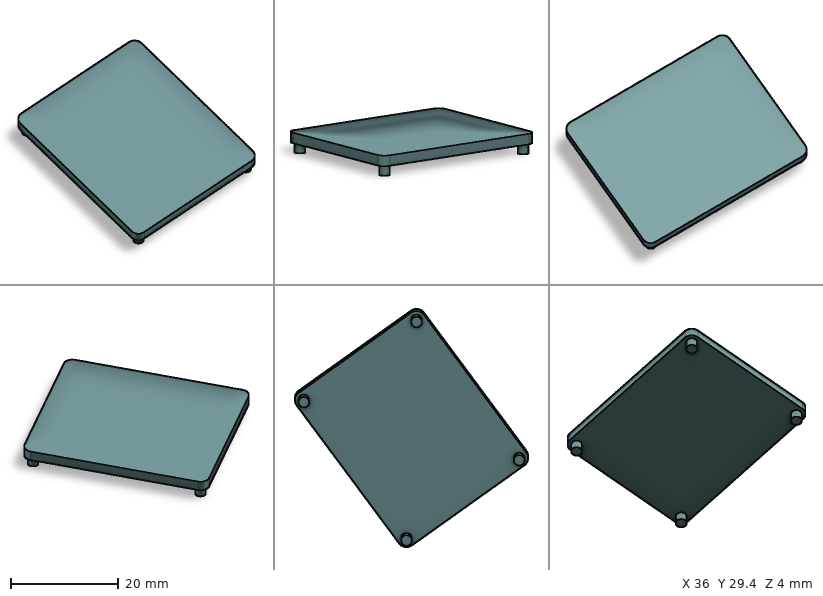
import cadquery as cq

length = 36.0
width = 29.4
total_height = 4.0
plate_thickness = 2.0
corner_radius = 1.7

pin_diameter = 2.0
pin_length = total_height - plate_thickness
pin_spacing_x = length - 2 * corner_radius
pin_spacing_y = width - 2 * corner_radius


def make_plate():
    """Flat plate with rounded corners, its underside at Z = 0."""
    plate = cq.Workplane("XY").rect(length, width).extrude(plate_thickness)
    return plate.edges("|Z").fillet(corner_radius)


def make_pins():
    """Four round pins hanging below the plate corners."""
    return (
        cq.Workplane("XY")
        .rect(pin_spacing_x, pin_spacing_y, forConstruction=True)
        .vertices()
        .circle(pin_diameter / 2)
        .extrude(-pin_length)
    )


result = make_plate().union(make_pins())